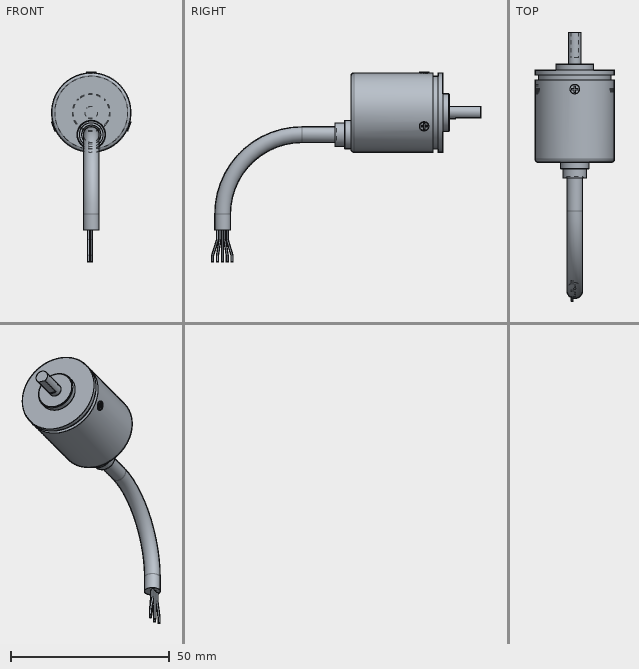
import cadquery as cq
import math


housing_diameter = 25.0
housing_length = 29.0
rear_edge_radius = 1.0
flange_thickness = 1.5
groove_width = 1.5
groove_diameter = 23.0

hub_diameter = 12.0
hub_length = 2.0
hub_chamfer = 0.25
shaft_diameter = 4.0
shaft_reach = 12.0
flat_length = 8.0
flat_depth = 0.3

screw_diameter = 3.0
screw_setback = 5.9
screw_protrusion = 0.25
screw_sink = 1.3
screw_angles = [90, -20, 200]
recess_span = 2.0
recess_slot_width = 0.5
recess_depth = 0.5

cable_drop = 7.0
gland_diameter = 9.0
gland_length = 2.0
gland_chamfer = 0.2
sleeve_diameter = 7.5
sleeve_length = 3.0
mouth_diameter = 6.0
mouth_depth = 0.5
cable_diameter = 5.0
cable_straight_length = 10.35
cable_bend_radius = 25.0
cable_end_length = 5.0

wire_diameter = 0.7
wire_fan_offset = 0.1
wire_pitch_at_cable = 0.8
wire_pitch_at_tip = 1.5
wire_straight_length = 3.05
wire_spread_length = 4.9
wire_length = 10.0
wire_row_x = [-0.85, 0.0]
wire_embed = 0.85

rear_y = -housing_length
sleeve_start_y = rear_y - gland_length
cable_start_y = sleeve_start_y - sleeve_length
cable_root_y = sleeve_start_y
bend_start_y = cable_start_y - cable_straight_length
cable_end_y = bend_start_y - cable_bend_radius
wire_fan_y = cable_end_y - wire_fan_offset
bend_end_z = -cable_drop - cable_bend_radius
cable_end_z = bend_end_z - cable_end_length


def y_cylinder(diameter, start_y, end_y, z=0):
    """Cylinder along Y between two places, centred on X = 0."""
    return cq.Workplane("XZ", origin=(0, start_y, z)).circle(diameter / 2).extrude(start_y - end_y)


def make_housing():
    body = y_cylinder(housing_diameter, 0, rear_y).faces("<Y").edges().fillet(rear_edge_radius)
    groove_end_y = -flange_thickness - groove_width
    ring = y_cylinder(housing_diameter, -flange_thickness, groove_end_y)
    ring = ring.cut(y_cylinder(groove_diameter, -flange_thickness, groove_end_y))
    hub = y_cylinder(hub_diameter, 0, hub_length).faces(">Y").edges().chamfer(hub_chamfer)
    return body.cut(ring).union(hub)


def make_shaft():
    shaft = y_cylinder(shaft_diameter, 0, shaft_reach)
    flat_cutter = cq.Workplane("XY").box(
        shaft_diameter, flat_length, flat_depth, centered=(True, False, False)
    )
    return shaft.cut(flat_cutter.translate((0, shaft_reach - flat_length, -shaft_diameter / 2)))


def screw_plane(angle):
    """Plane of the screw's top face, facing outward, with its own x axis along Y."""
    direction = cq.Vector(math.cos(math.radians(angle)), 0, math.sin(math.radians(angle)))
    center = direction * (housing_diameter / 2 + screw_protrusion) + cq.Vector(0, -screw_setback, 0)
    return cq.Plane(origin=center, xDir=(0, 1, 0), normal=direction)


def make_screw_head(angle):
    height = screw_protrusion + screw_sink
    return cq.Workplane(screw_plane(angle)).circle(screw_diameter / 2).extrude(-height)


def make_cross_recess(angle):
    top = cq.Workplane(screw_plane(angle))
    slot_along_y = top.rect(recess_span, recess_slot_width).extrude(-recess_depth)
    slot_around = top.rect(recess_slot_width, recess_span).extrude(-recess_depth)
    return slot_along_y.union(slot_around)


def make_gland():
    collar_start_y = rear_y + rear_edge_radius
    collar = y_cylinder(gland_diameter, collar_start_y, sleeve_start_y, -cable_drop)
    collar = collar.faces("<Y").edges().chamfer(gland_chamfer)
    sleeve = y_cylinder(sleeve_diameter, sleeve_start_y, cable_start_y, -cable_drop)
    mouth = (
        cq.Workplane("XZ", origin=(0, cable_start_y + mouth_depth, -cable_drop))
        .circle(cable_diameter / 2)
        .workplane(offset=mouth_depth)
        .circle(mouth_diameter / 2)
        .loft()
    )
    return collar.union(sleeve.cut(mouth))


def make_cable():
    bend_mid_y = bend_start_y - cable_bend_radius * math.sin(math.radians(45))
    bend_mid_z = bend_end_z + cable_bend_radius * math.cos(math.radians(45))
    path = (
        cq.Workplane("YZ")
        .moveTo(cable_root_y, -cable_drop)
        .lineTo(bend_start_y, -cable_drop)
        .threePointArc((bend_mid_y, bend_mid_z), (cable_end_y, bend_end_z))
        .lineTo(cable_end_y, cable_end_z)
    )
    section = cq.Workplane("XZ", origin=(0, cable_root_y, -cable_drop)).circle(cable_diameter / 2)
    return section.sweep(path)


def make_wire(position, x):
    """Wire number `position` from the centre of the fan: straight, spread outward, straight again."""
    near_y = wire_fan_y + position * wire_pitch_at_cable
    tip_y = wire_fan_y + position * wire_pitch_at_tip
    spread_start_z = cable_end_z - wire_straight_length
    spread_end_z = spread_start_z - wire_spread_length
    path = cq.Workplane("YZ", origin=(x, 0, 0)).polyline([
        (near_y, cable_end_z + wire_embed),
        (near_y, spread_start_z),
        (tip_y, spread_end_z),
        (tip_y, cable_end_z - wire_length),
    ])
    section = cq.Workplane("XY", origin=(x, near_y, cable_end_z + wire_embed)).circle(wire_diameter / 2)
    return section.sweep(path, transition="right")


result = make_housing().union(make_shaft())
for screw_angle in screw_angles:
    result = result.union(make_screw_head(screw_angle)).cut(make_cross_recess(screw_angle))
result = result.union(make_gland()).union(make_cable())
for wire_position in range(-2, 3):
    result = result.union(make_wire(wire_position, wire_row_x[wire_position % 2]))